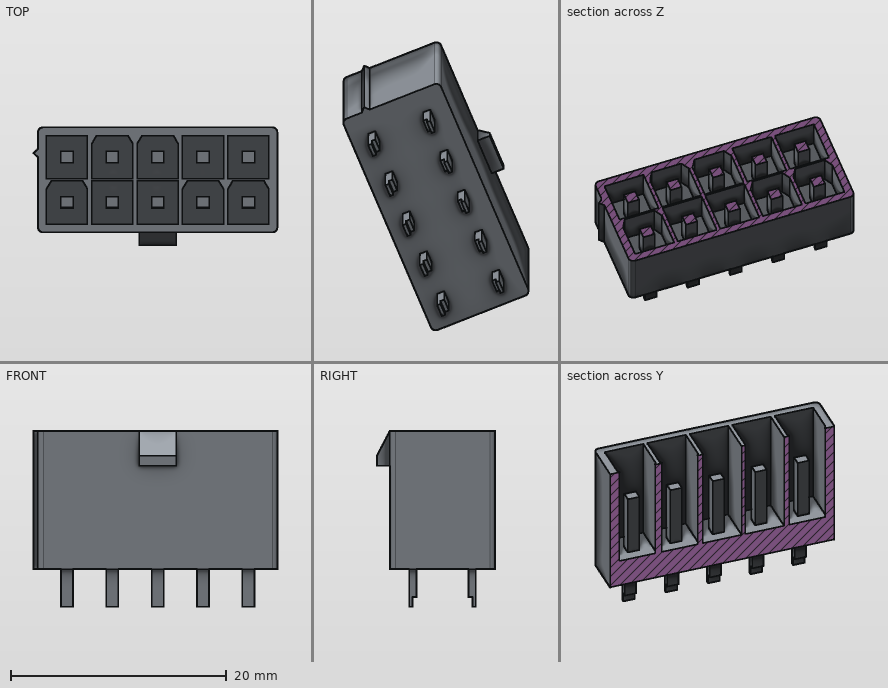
import cadquery as cq

columns = 5
pitch = 4.2
cavity_length = 3.8
cavity_width = 4.0
end_wall = 0.8
side_wall = 0.775
housing_length = (columns - 1) * pitch + cavity_length + 2 * end_wall
housing_width = pitch + cavity_width + 2 * side_wall
housing_height = 12.8
corner_radius = 0.5
floor_thickness = 2.8

key_cut_x = 0.45
key_cut_y = 0.75
keyed_front_columns = (0, 3, 4)
keyed_back_columns = (1, 2)

pin_length = 1.14
pin_width = 1.05
pin_height = 6.0
pin_chamfer = 0.1
leg_row_spacing = 5.5
leg_thickness = 0.7
leg_height = 3.5
leg_tip_thickness = 0.33
leg_tip_height = 0.9

latch_length = 3.45
latch_depth = 1.2
latch_height = 3.25
latch_ramp_height = 2.3

rib_depth = 0.4
rib_width = 0.77
rib_from_back = 2.4


def column_x(column):
    """X of the centre of a column of contacts."""
    return (column - (columns - 1) / 2) * pitch


def make_housing():
    block = cq.Workplane("XY").box(
        housing_length, housing_width, housing_height, centered=(True, True, False)
    )
    return block.edges("|Z").fillet(corner_radius)


def make_cavity(x, y, keyed):
    half_length = cavity_length / 2
    half_width = cavity_width / 2
    outline = cq.Workplane("XY").workplane(offset=floor_thickness).center(x, y)
    if keyed:
        outline = outline.polyline([
            (-half_length, -half_width),
            (half_length, -half_width),
            (half_length, half_width - key_cut_y),
            (half_length - key_cut_x, half_width),
            (-half_length + key_cut_x, half_width),
            (-half_length, half_width - key_cut_y),
        ]).close()
    else:
        outline = outline.rect(cavity_length, cavity_width)
    return outline.extrude(housing_height - floor_thickness)


def make_pin(x, y):
    """Pin rising from the cavity floor; front-row tips have a chamfered front edge."""
    pin = (
        cq.Workplane("XY")
        .workplane(offset=floor_thickness)
        .center(x, y)
        .rect(pin_length, pin_width)
        .extrude(pin_height)
    )
    if y < 0:
        pin = pin.faces(">Z").edges("<Y").chamfer(pin_chamfer)
    return pin


def make_leg(x, side):
    """Solder leg on the back (side = 1) or front (side = -1), thinned from its inner face."""
    inner_y = side * (leg_row_spacing - leg_thickness) / 2
    outer_y = side * (leg_row_spacing + leg_thickness) / 2
    tip_inner_y = outer_y - side * leg_tip_thickness
    step_z = leg_tip_height - leg_height
    return (
        cq.Workplane("YZ")
        .workplane(offset=x - pin_length / 2)
        .polyline([
            (inner_y, 0),
            (outer_y, 0),
            (outer_y, -leg_height),
            (tip_inner_y, -leg_height),
            (tip_inner_y, step_z),
            (inner_y, step_z),
        ])
        .close()
        .extrude(pin_length)
    )


def make_latch():
    front_y = -housing_width / 2
    tip_y = front_y - latch_depth
    return (
        cq.Workplane("YZ")
        .workplane(offset=-latch_length / 2)
        .polyline([
            (front_y, housing_height),
            (tip_y, housing_height - latch_ramp_height),
            (tip_y, housing_height - latch_height),
            (front_y, housing_height - latch_height),
        ])
        .close()
        .extrude(latch_length)
    )


def make_rib():
    end_x = -housing_length / 2
    rib_y = housing_width / 2 - rib_from_back
    return (
        cq.Workplane("XY")
        .polyline([
            (end_x, rib_y - rib_width / 2),
            (end_x, rib_y + rib_width / 2),
            (end_x - rib_depth, rib_y),
        ])
        .close()
        .extrude(housing_height)
    )


result = make_housing().union(make_latch()).union(make_rib())
for side, keyed_columns in ((-1, keyed_front_columns), (1, keyed_back_columns)):
    row_y = side * pitch / 2
    for column in range(columns):
        x = column_x(column)
        result = result.cut(make_cavity(x, row_y, column in keyed_columns))
        result = result.union(make_pin(x, row_y))
        result = result.union(make_leg(x, side))